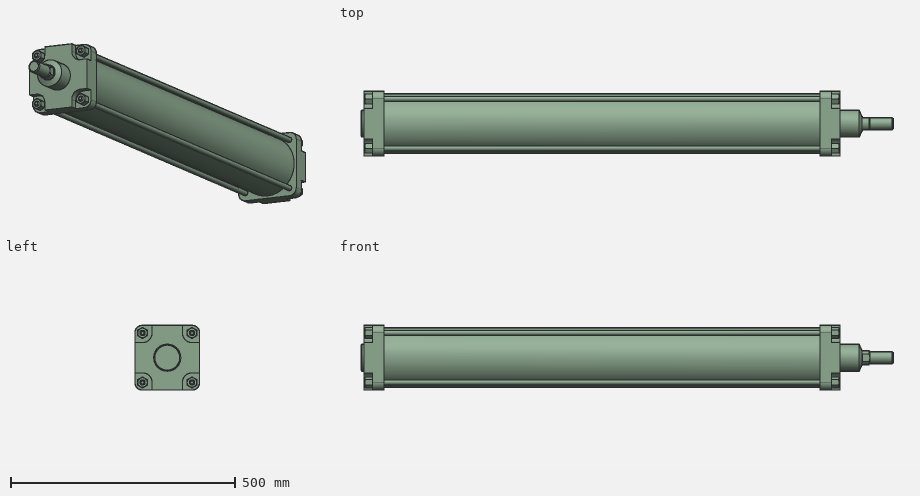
import cadquery as cq
import math

TOTAL_LENGTH = 1185.0
REAR_BOSS_HEIGHT = 6.0
CAP_LENGTH = 45.0
BARREL_LENGTH = 970.0
NECK_LENGTH = 49.0
ROUND_SHOULDER_LENGTH = 1.0
FLATS_LENGTH = 17.0

REAR_CAP_X = REAR_BOSS_HEIGHT
BARREL_X = REAR_CAP_X + CAP_LENGTH
FRONT_CAP_X = BARREL_X + BARREL_LENGTH
FRONT_FACE_X = FRONT_CAP_X + CAP_LENGTH
NECK_END_X = FRONT_FACE_X + NECK_LENGTH
FLATS_X = NECK_END_X + ROUND_SHOULDER_LENGTH
THREAD_X = FLATS_X + FLATS_LENGTH

CAP_SIDE = 145.0
CAP_CORNER_RADIUS = 17.0
POCKET_DEPTH = 19.0
POCKET_RADIUS = 21.0
BOSS_DIAMETER = 60.0
REAR_BOSS_CHAMFER_LENGTH = 1.0
REAR_BOSS_CHAMFER_WIDTH = 2.0
NECK_CONE_LENGTH = 6.0
NECK_CONE_WIDTH = 13.0

BARREL_DIAMETER = 134.0

TIE_ROD_SPACING = 110.0
TIE_ROD_DIAMETER = 12.0
TIE_ROD_TIP = 2.0
NUT_ACROSS_FLATS = 21.0
NUT_HEIGHT = 17.0
NUT_CHAMFER_ANGLE = 30
FIRST_SEAT_X = REAR_CAP_X + POCKET_DEPTH
LAST_SEAT_X = FRONT_FACE_X - POCKET_DEPTH

ROD_DIAMETER = 32.0
FLATS_WIDTH = 27.0
THREAD_DIAMETER = 27.0
THREAD_CHAMFER = 2.0
SHOULDER_CHAMFER = (ROD_DIAMETER - THREAD_DIAMETER) / 2

SIDES = (-1, 1)
CORNERS = [(side_y, side_z) for side_y in SIDES for side_z in SIDES]
TIE_ROD_OFFSET = TIE_ROD_SPACING / 2
TIE_ROD_CENTRES = [(side_y * TIE_ROD_OFFSET, side_z * TIE_ROD_OFFSET) for side_y, side_z in CORNERS]


def plane_at(x):
    """Workplane facing +X at station x, with local axes along Y and Z."""
    return cq.Workplane("YZ", origin=(x, 0, 0))


def cylinder(x, diameter, length):
    """Cylinder on the X axis starting at station x."""
    return plane_at(x).circle(diameter / 2).extrude(length)


def make_pocket(x, side_y, side_z):
    """Corner recess, rounded about the tie rod and open towards both outer sides of the cap."""
    inner_wall = TIE_ROD_OFFSET - POCKET_RADIUS
    outer_side = CAP_SIDE / 2
    size = outer_side - inner_wall
    middle = (outer_side + inner_wall) / 2
    block = plane_at(x).center(side_y * middle, side_z * middle).rect(size, size).extrude(POCKET_DEPTH)
    inner_face = "<Y" if side_y > 0 else ">Y"
    inner_edge = "<Z" if side_z > 0 else ">Z"
    return block.faces(inner_face).edges(inner_edge).fillet(POCKET_RADIUS)


def make_cap_block(x, pocket_x):
    """Square cap with rounded corners, four tie rod holes and four nut pockets."""
    block = plane_at(x).rect(CAP_SIDE, CAP_SIDE).extrude(CAP_LENGTH)
    block = block.edges("|X").fillet(CAP_CORNER_RADIUS)
    holes = plane_at(x).pushPoints(TIE_ROD_CENTRES).circle(TIE_ROD_DIAMETER / 2).extrude(CAP_LENGTH)
    block = block.cut(holes)
    for side_y, side_z in CORNERS:
        block = block.cut(make_pocket(pocket_x, side_y, side_z))
    return block


def make_rear_cap():
    """Cap with a low round boss on its outer face."""
    boss = cylinder(0, BOSS_DIAMETER, REAR_BOSS_HEIGHT)
    boss = boss.faces("<X").edges().chamfer(REAR_BOSS_CHAMFER_LENGTH, REAR_BOSS_CHAMFER_WIDTH)
    return make_cap_block(REAR_CAP_X, REAR_CAP_X).union(boss)


def make_front_cap():
    """Cap with a cone-ended neck, bored through for the piston rod."""
    neck = cylinder(FRONT_FACE_X, BOSS_DIAMETER, NECK_LENGTH)
    neck = neck.faces(">X").edges().chamfer(NECK_CONE_LENGTH, NECK_CONE_WIDTH)
    bore = cylinder(FRONT_CAP_X, ROD_DIAMETER, CAP_LENGTH + NECK_LENGTH)
    return make_cap_block(FRONT_CAP_X, LAST_SEAT_X).union(neck).cut(bore)


def make_barrel():
    """Round barrel clamped between the caps."""
    return cylinder(BARREL_X, BARREL_DIAMETER, BARREL_LENGTH)


def make_nut():
    """Hexagon nut on +X with two flats facing along Y, its outer corners turned off by a cone."""
    flat_radius = NUT_ACROSS_FLATS / 2
    corner_radius = NUT_ACROSS_FLATS / math.sqrt(3)
    corner_drop = (corner_radius - flat_radius) * math.tan(math.radians(NUT_CHAMFER_ANGLE))
    hexagon = plane_at(0).transformed(rotate=(0, 0, 90)).polygon(6, 2 * corner_radius).extrude(NUT_HEIGHT)
    turned = (
        cq.Workplane("XY")
        .lineTo(NUT_HEIGHT, 0)
        .lineTo(NUT_HEIGHT, flat_radius)
        .lineTo(NUT_HEIGHT - corner_drop, corner_radius)
        .lineTo(0, corner_radius)
        .close()
        .revolve(360, (0, 0, 0), (1, 0, 0))
    )
    return hexagon.intersect(turned)


def make_tie_rod(y, z):
    """Tie rod with a nut seated in the pocket of each cap and a chamfered tip beyond each nut."""
    overhang = NUT_HEIGHT + TIE_ROD_TIP
    rod = cylinder(FIRST_SEAT_X - overhang, TIE_ROD_DIAMETER, LAST_SEAT_X - FIRST_SEAT_X + 2 * overhang)
    rod = rod.faces("|X").chamfer(TIE_ROD_TIP)
    rear_nut = make_nut().mirror("YZ").translate((FIRST_SEAT_X, 0, 0))
    front_nut = make_nut().translate((LAST_SEAT_X, 0, 0))
    return rod.union(rear_nut).union(front_nut).translate((0, y, z))


def make_piston_rod():
    """Round rod with two wrench flats ahead of the neck and a slimmer threaded end."""
    shank = cylinder(FRONT_CAP_X, ROD_DIAMETER, THREAD_X - FRONT_CAP_X).faces(">X").chamfer(SHOULDER_CHAMFER)
    waste_width = (ROD_DIAMETER - FLATS_WIDTH) / 2
    for side_y in SIDES:
        waste_y = side_y * (FLATS_WIDTH + waste_width) / 2
        waste = plane_at(FLATS_X).center(waste_y, 0).rect(waste_width, ROD_DIAMETER).extrude(FLATS_LENGTH)
        shank = shank.cut(waste)
    thread = cylinder(THREAD_X, THREAD_DIAMETER, TOTAL_LENGTH - THREAD_X)
    return shank.union(thread.faces(">X").chamfer(THREAD_CHAMFER))


rear_cap = make_rear_cap()
front_cap = make_front_cap()
barrel = make_barrel()
piston_rod = make_piston_rod()
tie_rods = [make_tie_rod(y, z) for y, z in TIE_ROD_CENTRES]

result = cq.Compound.makeCompound([
    rear_cap.solids().val(),
    front_cap.solids().val(),
    barrel.solids().val(),
    piston_rod.solids().val(),
    *[tie_rod.solids().val() for tie_rod in tie_rods],
])